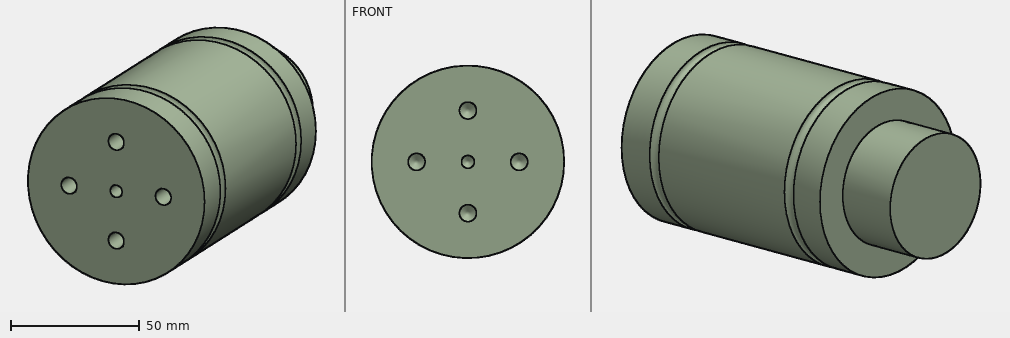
import cadquery as cq
import math

total_length = 135.0
body_length = 109.0
body_diameter = 75.0
rod_diameter = 50.0

groove_width = 5.0
front_groove_position = 18.0
rear_groove_inset = 17.0

bolt_hole_diameter = 6.6
bolt_circle_diameter = 40.0
bolt_hole_count = 4
centre_hole_diameter = 5.0
hole_depth = 13.0
drill_point_angle = 118.0

front_face = -total_length / 2


def cylinder(diameter, length):
    """Solid cylinder running from the drilled face toward +Y."""
    return (
        cq.Workplane("XZ", origin=(0, front_face, 0))
        .circle(diameter / 2)
        .extrude(-length)
    )


def groove_ring(position):
    """Round ring that cuts a half-round groove at a distance from the drilled face."""
    return (
        cq.Workplane("XY")
        .center(body_diameter / 2, front_face + position)
        .circle(groove_width / 2)
        .revolve(360, (-body_diameter / 2, 0, 0), (-body_diameter / 2, 1, 0))
    )


def drilled_hole(diameter, x, z):
    """Blind hole with a conical bottom, entering the drilled face at (x, z)."""
    radius = diameter / 2
    point_depth = radius / math.tan(math.radians(drill_point_angle / 2))
    return (
        cq.Workplane("XY", origin=(x, front_face, z))
        .polyline([
            (0, 0),
            (radius, 0),
            (radius, hole_depth),
            (0, hole_depth + point_depth),
        ])
        .close()
        .revolve(360, (0, 0, 0), (0, 1, 0))
    )


result = cylinder(body_diameter, body_length).union(cylinder(rod_diameter, total_length))

for groove_position in (front_groove_position, body_length - rear_groove_inset):
    result = result.cut(groove_ring(groove_position))

result = result.cut(drilled_hole(centre_hole_diameter, 0, 0))
for i in range(bolt_hole_count):
    angle = 2 * math.pi * i / bolt_hole_count
    hole_x = bolt_circle_diameter / 2 * math.cos(angle)
    hole_z = bolt_circle_diameter / 2 * math.sin(angle)
    result = result.cut(drilled_hole(bolt_hole_diameter, hole_x, hole_z))